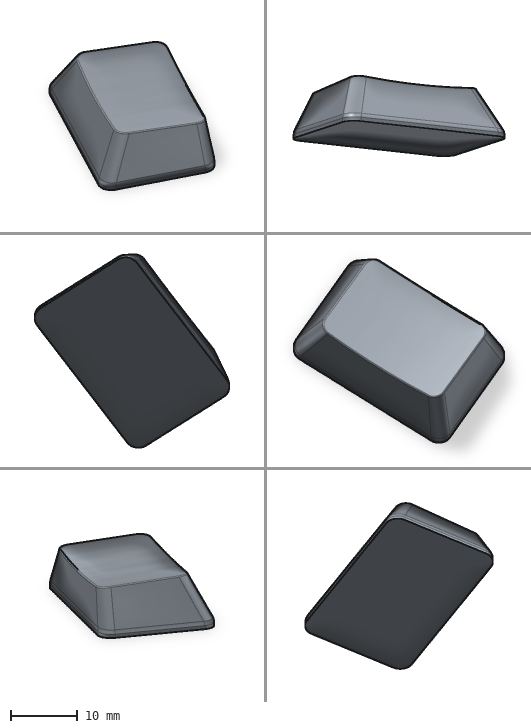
import cadquery as cq
import math

length_x = 27.7
depth_y = 18.16
base_corner_radius = 2.02
skirt_height = 0.65
blend_height = 0.65
blend_sections = 3

top_tilt = 3.2
top_width = 21.27
top_front_y = -5.6
top_back_y = 8.47
top_front_z = 7.97
top_corner_radius = 1.77

dish_radius = 99.68
dish_centre_y = 1.38
dish_floor_z = 6.87
rim_radius = 0.22

crease_z = skirt_height + blend_height / 2
top_depth = top_back_y - top_front_y
top_drop = top_depth * math.tan(math.radians(top_tilt))
top_middle_z = top_front_z - top_drop / 2
side_slope = (length_x - top_width) / 2 / (top_middle_z - crease_z)
front_slope = (depth_y / 2 + top_front_y) / (top_front_z - crease_z)
back_slope = (depth_y / 2 - top_back_y) / (top_front_z - top_drop - crease_z)


def rounded_outline(x_size, y_size, corner_radius):
    return cq.Sketch().rect(x_size, y_size).vertices().fillet(corner_radius)


def blend_section(z):
    """Outline in the band where the walls bend along a parabola from upright to sloping."""
    travel = (z - skirt_height) ** 2 / (2 * blend_height)
    x_size = length_x - 2 * side_slope * travel
    y_front = -depth_y / 2 + front_slope * travel
    y_back = depth_y / 2 - back_slope * travel
    centre = cq.Vector(0, (y_front + y_back) / 2, z)
    outline = rounded_outline(x_size, y_back - y_front, base_corner_radius)
    return outline.moved(cq.Location(centre))


def top_section():
    """Outline on the tilted plane just above the dish."""
    tilted_depth = top_depth / math.cos(math.radians(top_tilt))
    centre = cq.Vector(0, (top_front_y + top_back_y) / 2, top_middle_z)
    placement = cq.Location(centre, cq.Vector(1, 0, 0), -top_tilt)
    return rounded_outline(top_width, tilted_depth, top_corner_radius).moved(placement)


def make_body():
    skirt = (
        cq.Workplane()
        .rect(length_x, depth_y)
        .extrude(skirt_height)
        .edges("|Z")
        .fillet(base_corner_radius)
    )
    step = blend_height / (blend_sections - 1)
    blend_outlines = [blend_section(skirt_height + i * step) for i in range(blend_sections)]
    blend = cq.Workplane().placeSketch(*blend_outlines).loft()
    flanks = cq.Workplane().placeSketch(blend_outlines[-1], top_section()).loft(ruled=True)
    return skirt.union(blend).union(flanks)


def cut_dish(body):
    dish_length = 2 * depth_y
    tilt = math.radians(top_tilt)
    axis = cq.Vector(0, math.cos(tilt), -math.sin(tilt))
    upward = cq.Vector(0, math.sin(tilt), math.cos(tilt))
    floor_point = cq.Vector(0, dish_centre_y, dish_floor_z)
    start = floor_point + upward * dish_radius - axis * (dish_length / 2)
    return body.cut(cq.Workplane(cq.Solid.makeCylinder(dish_radius, dish_length, start, axis)))


def round_rim(body):
    dish_face = cq.selectors.NearestToPointSelector((0, dish_centre_y, dish_floor_z))
    return body.faces(dish_face).edges().fillet(rim_radius)


result = round_rim(cut_dish(make_body()))